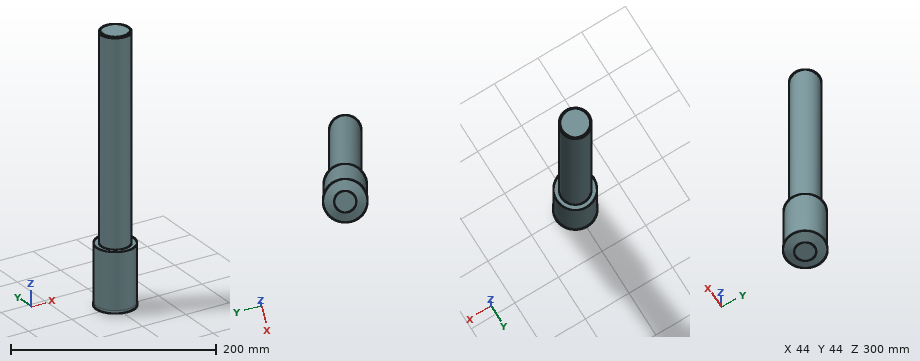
import cadquery as cq

total_length = 300.0
shoulder_level = 70.2
rim_level = 4.0
flare_height = 3.0

rod_radius = 16.0
collar_radius = 21.3
rim_radius = 22.0
bottom_flat_radius = 10.8

rod_end_chamfer = 1.2


def make_rod():
    """Long round rod standing on the shoulder of the head, with its free end chamfered."""
    return (
        cq.Workplane("XY", origin=(0, 0, shoulder_level))
        .circle(rod_radius)
        .extrude(total_length - shoulder_level)
        .faces(">Z")
        .chamfer(rod_end_chamfer)
    )


def make_head():
    """Thicker round head: a curved flare leads to a sharp rim, then a taper to a flat bottom."""
    return (
        cq.Workplane("XZ")
        .moveTo(0, shoulder_level)
        .lineTo(collar_radius, shoulder_level)
        .lineTo(collar_radius, rim_level + flare_height)
        .tangentArcPoint((rim_radius, rim_level), relative=False)
        .lineTo(bottom_flat_radius, 0)
        .lineTo(0, 0)
        .close()
        .revolve(360, (0, 0, 0), (0, 1, 0))
    )


rod = make_rod()
head = make_head()

result = cq.Compound.makeCompound([rod.val(), head.val()])